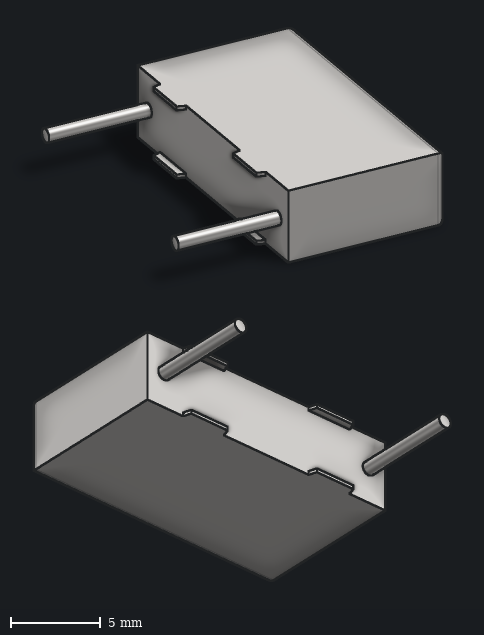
import cadquery as cq

length = 17.5
height = 4.5
overall_depth = 16.5

case_depth = 10.0
back_radius = 0.49

lead_diameter = 0.85
lead_pitch = 15.03
lead_length = overall_depth - case_depth

foot_base_width = 3.01
foot_tip_width = 2.68
foot_reach = 0.5
foot_thickness = 0.25
foot_pitch = 9.24


def make_block():
    block = cq.Workplane("XY").box(length, case_depth, height, centered=(True, False, True))
    return block.faces(">Y").edges().fillet(back_radius)


def make_foot(x, z_bottom):
    return (
        cq.Workplane("XY", origin=(x, 0, z_bottom))
        .moveTo(-foot_base_width / 2, 0)
        .lineTo(-foot_tip_width / 2, -foot_reach)
        .lineTo(foot_tip_width / 2, -foot_reach)
        .lineTo(foot_base_width / 2, 0)
        .close()
        .extrude(foot_thickness)
    )


def make_case():
    case = make_block()
    for x in (-foot_pitch / 2, foot_pitch / 2):
        for z_bottom in (-height / 2, height / 2 - foot_thickness):
            case = case.union(make_foot(x, z_bottom))
    return case.solids()


def make_lead(x):
    return cq.Workplane("XZ", origin=(x, 0, 0)).circle(lead_diameter / 2).extrude(lead_length)


case = make_case()
leads = [make_lead(x) for x in (-lead_pitch / 2, lead_pitch / 2)]

result = cq.Compound.makeCompound([case.val(), *[lead.val() for lead in leads]])